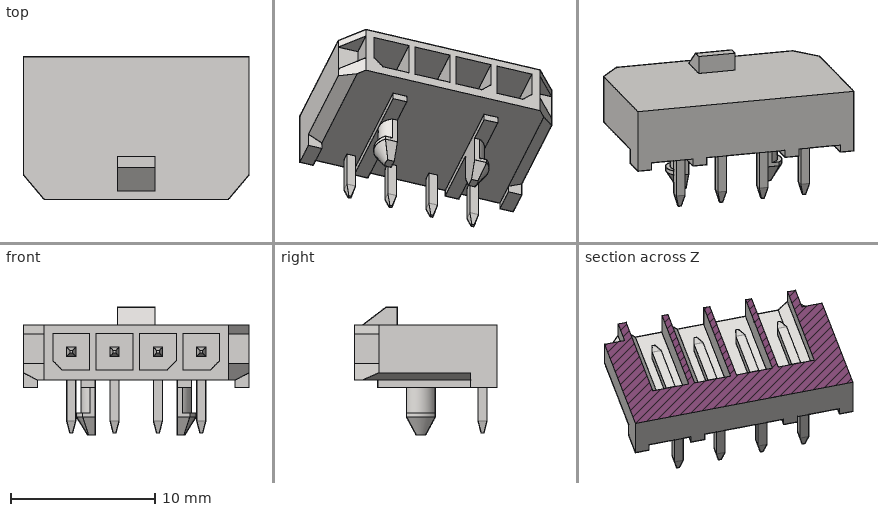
import cadquery as cq


width = 15.65
depth = 9.9
height = 3.83
half_width = width / 2
corner_x = 1.44
corner_y = 1.7

notch_floor = 1.17
notch_top = 3.21

foot_width = 0.99
foot_height = 0.52
foot_front = 8.06
rib_front = 1.61
rib_inner = 2.83
rib_outer = 3.83

pitch = 3.0
contact_count = 4
cavity_size = 2.55
cavity_chamfer = 0.65
cavity_depth = 7.05
contact_z = 1.97
key_sides = (-1, 0, 1, 1)

pin_size = 0.64
pin_tip = 0.2
pin_taper = 0.85
pin_front = 2.5
tail_y = 8.89
tail_bottom = -3.66

latch_width = 2.63
latch_height = 1.24
latch_front = 0.58
latch_crest = 2.2
latch_rear = 2.99

peg_y = 4.62
peg_half_depth = 1.0
stem_shoulder = 0.36
barb_top = -2.27
barb_bottom = -2.55
barb_length = 1.31
barb_shoulder = 0.88
peg_bottom = -3.8
peg_tip_length = 0.53
peg_tip_shoulder = 0.47
peg_tip_half_depth = 0.33


def box(x_range, y_range, z_range):
    """Box given by its (low, high) limits along each axis."""
    sizes = [high - low for low, high in (x_range, y_range, z_range)]
    corner = (x_range[0], y_range[0], z_range[0])
    return cq.Workplane("XY").box(*sizes, centered=False).translate(corner)


def with_mirror(shape):
    """The shape together with its mirror image across X = 0."""
    return shape.union(shape.mirror("YZ"))


def housing_block():
    return (
        cq.Workplane("XY")
        .moveTo(-half_width, depth)
        .lineTo(-half_width, corner_y)
        .lineTo(-half_width + corner_x, 0)
        .lineTo(half_width - corner_x, 0)
        .lineTo(half_width, corner_y)
        .lineTo(half_width, depth)
        .close()
        .extrude(height)
    )


def corner_notches():
    notch_x = (half_width - corner_x, half_width)
    return with_mirror(box(notch_x, (0, corner_y), (notch_floor, notch_top)))


def underside_bevels():
    bevel = (
        cq.Workplane("XZ")
        .moveTo(half_width - foot_width, 0)
        .lineTo(half_width, 0)
        .lineTo(half_width, foot_height)
        .close()
        .extrude(-foot_front)
    )
    return with_mirror(bevel)


def feet_and_ribs():
    z_range = (-foot_height, 0)
    foot = box((half_width - foot_width, half_width), (foot_front, depth), z_range)
    rib = box((rib_inner, rib_outer), (rib_front, depth), z_range)
    return with_mirror(foot.union(rib))


def cavity(x, key_side):
    """Square socket open at the mating face, with one lower corner cut off if keyed."""
    half = cavity_size / 2
    pocket = box((x - half, x + half), (0, cavity_depth), (contact_z - half, contact_z + half))
    if key_side:
        side = ">X" if key_side > 0 else "<X"
        pocket = pocket.faces(side).edges("<Z").chamfer(cavity_chamfer)
    return pocket


def tapered_pin(length):
    """Square pin from Z = 0 down to its tapered tip at Z = -length."""
    shank_length = length - pin_taper
    shank = cq.Workplane("XY").rect(pin_size, pin_size).extrude(-shank_length)
    tip = (
        cq.Workplane("XY", origin=(0, 0, -shank_length))
        .rect(pin_size, pin_size)
        .workplane(offset=-pin_taper)
        .rect(pin_tip, pin_tip)
        .loft(ruled=True)
    )
    return shank.union(tip)


def contact(x):
    """Right-angle contact: a pin toward the mating face and a tail through the underside."""
    tail = tapered_pin(contact_z - tail_bottom).translate((x, tail_y, contact_z))
    mating_pin = (
        tapered_pin(tail_y - pin_front)
        .rotate((0, 0, 0), (1, 0, 0), -90)
        .translate((x, tail_y, contact_z))
    )
    return tail.union(mating_pin)


def latch():
    return (
        cq.Workplane("YZ", origin=(-latch_width / 2, 0, height))
        .moveTo(latch_front, 0)
        .lineTo(latch_crest, latch_height)
        .lineTo(latch_rear, latch_height)
        .lineTo(latch_rear, 0)
        .close()
        .extrude(latch_width)
    )


def peg_section(plane, shoulder, length, half_depth):
    """Flat-sided outline with an arc on its outer end, measured from the inner flat."""
    return (
        plane
        .moveTo(0, -half_depth)
        .lineTo(shoulder, -half_depth)
        .threePointArc((length, 0), (shoulder, half_depth))
        .lineTo(0, half_depth)
        .close()
    )


def peg():
    """Board peg with a barb on its outer side and a tapered end."""
    def level(z):
        return cq.Workplane("XY", origin=(rib_inner, peg_y, z))

    stem_length = rib_outer - rib_inner
    stem = peg_section(level(-foot_height), stem_shoulder, stem_length, peg_half_depth)
    stem = stem.extrude(barb_top + foot_height)

    barb = peg_section(level(barb_top), barb_shoulder, barb_length, peg_half_depth)
    barb = barb.extrude(barb_bottom - barb_top)

    taper = peg_section(level(barb_bottom), barb_shoulder, barb_length, peg_half_depth)
    taper = peg_section(
        taper.workplane(offset=peg_bottom - barb_bottom),
        peg_tip_shoulder,
        peg_tip_length,
        peg_tip_half_depth,
    ).loft(ruled=True)
    return stem.union(barb).union(taper)


contact_xs = [(i - (contact_count - 1) / 2) * pitch for i in range(contact_count)]

result = housing_block().cut(corner_notches()).cut(underside_bevels())
result = result.union(feet_and_ribs()).union(latch()).union(with_mirror(peg()))

for contact_x, key in zip(contact_xs, key_sides):
    result = result.cut(cavity(contact_x, key)).union(contact(contact_x))